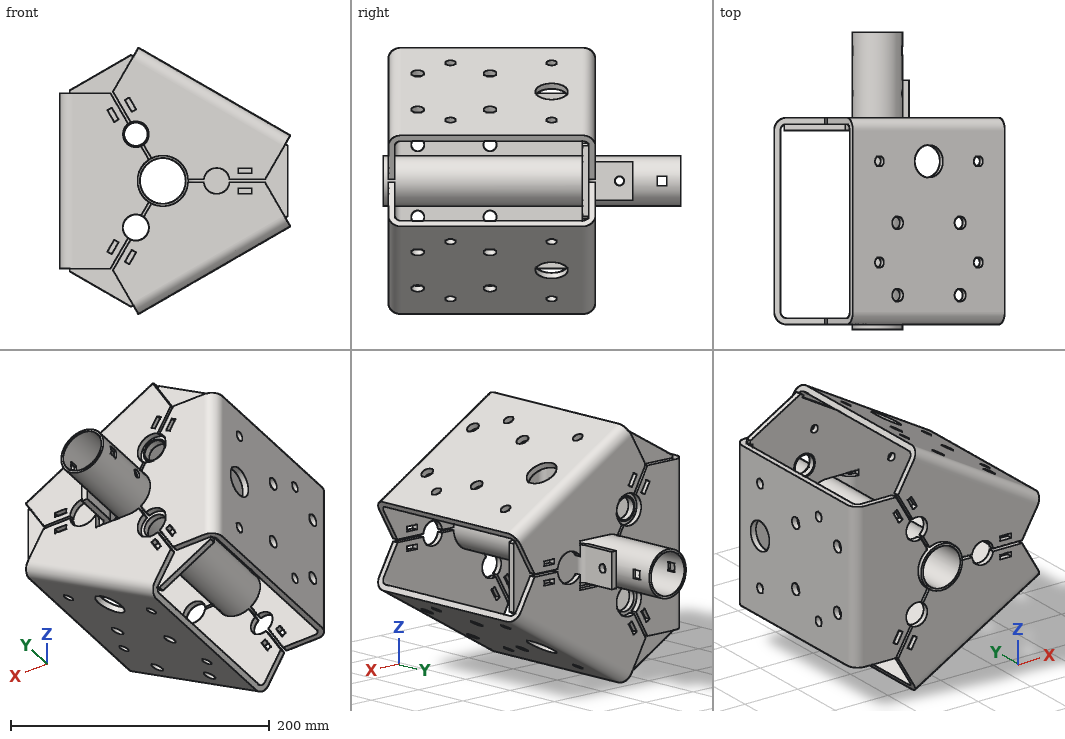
import cadquery as cq
import math

SHEET = 5.0
BEND_IN = 4.8
BEND_OUT = BEND_IN + SHEET

TUBE_OD = 39.0
TUBE_ID = 35.2
TUBE_FRONT = -84.0
TUBE_LENGTH = 230.0
CROSS_HOLE_DIA = 7.0
CROSS_HOLE_Y = 98.7
SQUARE_HOLE = 7.1
SQUARE_HOLE_Y = 131.5

FACE_DISTANCE = 79.8
BRACKET_WIDTH = 135.7
BRACKET_DEPTH = 160.0
HALF_DEPTH = BRACKET_DEPTH / 2
SLIT = 2.3
CORNER_HOLE_DIA = 20.0
REAR_CORNER_HOLE_DIA = 26.0
CORNER_HOLE_RADIUS = 41.6
SLOT_LENGTH = 10.5
SLOT_WIDTH = 4.0
SLOT_RADIUS = 63.5
SLOT_OFFSET = 7.8
BIG_HOLE_DIA = 25.0
SMALL_HOLE_DIA = 8.0
MEDIUM_HOLE_DIA = 10.0
BIG_HOLE_Y = 46.2
SMALL_HOLE_YS = (BIG_HOLE_Y, -32.0)
SMALL_HOLE_SPACING = 88.3
MEDIUM_HOLE_YS = (-1.4, -57.3)
MEDIUM_HOLE_SPACING = 56.0

PLATE_LONG_DISTANCE = 72.0
PLATE_RECESS_DISTANCE = FACE_DISTANCE - BEND_OUT
PLATE_RECESS_WIDTH = 133.0
PLATE_SHORT_DISTANCE = 96.5
PLATE_REAR = HALF_DEPTH - SHEET
PLATE_FRONT = PLATE_REAR - SHEET
PLATE_HOLE_ANGLES = (120, 240)
BOLT_HOLE_DIA = 6.5
BOLT_HOLE_RADIUS = 61.6
BOLT_HOLE_OFFSET = 22.5
TAB_END = 109.0
TAB_HEIGHT = 30.0
WINDOW_END = 30.8

BUSHING_ID = 18.0
BUSHING_LENGTH = 6.0
BUSHING_ANGLE = 120

CORNER_ANGLES = (0, 120, 240)
FACE_ANGLES = (60, 180, 300)
SECTOR_HALF_ANGLE = 60


def polar(radius, angle):
    a = math.radians(angle)
    return radius * math.cos(a), radius * math.sin(a)


def turn(body, angle):
    """Turn about the tube axis, from +X towards +Z."""
    return body.rotate((0, 0, 0), (0, 1, 0), -angle)


def along_y(y_start, y_end):
    """Sketch plane whose local axes are +X and +Z, and a depth that extrudes towards +Y."""
    return cq.Workplane("XZ", origin=(0, y_start, 0)), -(y_end - y_start)


def cylinder_y(diameter, x, z, y_start, y_end):
    plane, depth = along_y(y_start, y_end)
    return plane.center(x, z).circle(diameter / 2).extrude(depth)


def box_between(x, y, z):
    box = cq.Workplane("XY").box(x[1] - x[0], y[1] - y[0], z[1] - z[0], centered=False)
    return box.translate((x[0], y[0], z[0]))


def make_window():
    """Opening beside the tube, as high as the tube, that the tab is bent through."""
    half = TUBE_OD / 2
    return box_between((0, WINDOW_END), (PLATE_FRONT, HALF_DEPTH), (-half, half))


def make_bracket(angle):
    half_w = BRACKET_WIDTH / 2
    bracket = box_between((0, FACE_DISTANCE), (-HALF_DEPTH, HALF_DEPTH), (-half_w, half_w))
    bracket = bracket.edges("|Z and >X").fillet(BEND_OUT)
    inside = box_between(
        (0, FACE_DISTANCE - SHEET),
        (-HALF_DEPTH + SHEET, HALF_DEPTH - SHEET),
        (-half_w, half_w),
    )
    bracket = bracket.cut(inside.edges("|Z and >X").fillet(BEND_IN))

    half_angle = math.radians(SECTOR_HALF_ANGLE)
    tip = SLIT / 2 / math.sin(half_angle)
    rise = (FACE_DISTANCE - tip) * math.tan(half_angle)
    plane, depth = along_y(-HALF_DEPTH, HALF_DEPTH)
    sector = plane.polyline([(tip, 0), (FACE_DISTANCE, rise), (FACE_DISTANCE, -rise)])
    sector = sector.close().extrude(depth)
    bracket = bracket.intersect(sector)

    bracket = bracket.cut(cylinder_y(TUBE_OD, 0, 0, -HALF_DEPTH, HALF_DEPTH))
    for side in (-1, 1):
        x, z = polar(CORNER_HOLE_RADIUS, SECTOR_HALF_ANGLE * side)
        bracket = bracket.cut(cylinder_y(CORNER_HOLE_DIA, x, z, -HALF_DEPTH, 0))
        bracket = bracket.cut(cylinder_y(REAR_CORNER_HOLE_DIA, x, z, 0, HALF_DEPTH))
        slot = plane.center(SLOT_RADIUS, -side * SLOT_OFFSET).rect(SLOT_LENGTH, SLOT_WIDTH).extrude(depth)
        bracket = bracket.cut(turn(slot, SECTOR_HALF_ANGLE * side))

    web = cq.Workplane("YZ", origin=(FACE_DISTANCE - SHEET, 0, 0))
    small = [(y, s * SMALL_HOLE_SPACING / 2) for y in SMALL_HOLE_YS for s in (-1, 1)]
    medium = [(y, s * MEDIUM_HOLE_SPACING / 2) for y in MEDIUM_HOLE_YS for s in (-1, 1)]
    bracket = bracket.cut(web.pushPoints([(BIG_HOLE_Y, 0)]).circle(BIG_HOLE_DIA / 2).extrude(SHEET))
    bracket = bracket.cut(web.pushPoints(small).circle(SMALL_HOLE_DIA / 2).extrude(SHEET))
    bracket = bracket.cut(web.pushPoints(medium).circle(MEDIUM_HOLE_DIA / 2).extrude(SHEET))

    return turn(bracket, angle).cut(make_window())


def make_plate():
    plane, depth = along_y(PLATE_FRONT, PLATE_REAR)
    long_r = 2 * PLATE_LONG_DISTANCE
    short_r = 2 * PLATE_SHORT_DISTANCE
    plate = plane.polyline([polar(long_r, a) for a in CORNER_ANGLES]).close().extrude(depth)
    cutter = plane.polyline([polar(short_r, a) for a in FACE_ANGLES]).close().extrude(depth)
    plate = plate.intersect(cutter)

    half = PLATE_RECESS_WIDTH / 2
    recess = box_between((PLATE_RECESS_DISTANCE, FACE_DISTANCE), (PLATE_FRONT, PLATE_REAR), (-half, half))
    for angle in FACE_ANGLES:
        plate = plate.cut(turn(recess, angle))

    plate = plate.cut(cylinder_y(TUBE_OD, 0, 0, PLATE_FRONT, PLATE_REAR)).cut(make_window())
    for angle in PLATE_HOLE_ANGLES:
        x, z = polar(CORNER_HOLE_RADIUS, angle)
        plate = plate.cut(cylinder_y(CORNER_HOLE_DIA, x, z, PLATE_FRONT, PLATE_REAR))
    for angle in CORNER_ANGLES:
        bolt_spots = [(BOLT_HOLE_RADIUS, side * BOLT_HOLE_OFFSET) for side in (-1, 1)]
        bolts = plane.pushPoints(bolt_spots).circle(BOLT_HOLE_DIA / 2).extrude(depth)
        plate = plate.cut(turn(bolts, angle))

    x0 = TUBE_OD / 2
    bend_x = x0 + BEND_OUT
    bend_y = PLATE_FRONT + BEND_OUT
    mid_arc = math.sqrt(0.5)
    outer_mid = (bend_x - BEND_OUT * mid_arc, bend_y - BEND_OUT * mid_arc)
    inner_mid = (bend_x - BEND_IN * mid_arc, bend_y - BEND_IN * mid_arc)
    tab = (
        cq.Workplane("XY", origin=(0, 0, -TAB_HEIGHT / 2))
        .moveTo(WINDOW_END, PLATE_FRONT)
        .lineTo(bend_x, PLATE_FRONT)
        .threePointArc(outer_mid, (x0, bend_y))
        .lineTo(x0, TAB_END)
        .lineTo(x0 + SHEET, TAB_END)
        .lineTo(x0 + SHEET, bend_y)
        .threePointArc(inner_mid, (bend_x, PLATE_REAR))
        .lineTo(WINDOW_END, PLATE_REAR)
        .close()
        .extrude(TAB_HEIGHT)
    )
    plate = plate.union(tab)
    hole = cq.Workplane("YZ").center(CROSS_HOLE_Y, 0).circle(CROSS_HOLE_DIA / 2).extrude(TUBE_OD)
    return plate.cut(hole)


def make_tube():
    tube_end = TUBE_FRONT + TUBE_LENGTH
    tube = cylinder_y(TUBE_OD, 0, 0, TUBE_FRONT, tube_end).cut(
        cylinder_y(TUBE_ID, 0, 0, TUBE_FRONT, tube_end)
    )
    side = cq.Workplane("YZ", origin=(-TUBE_OD / 2, 0, 0))
    tube = tube.cut(side.center(CROSS_HOLE_Y, 0).circle(CROSS_HOLE_DIA / 2).extrude(TUBE_OD))
    return tube.cut(side.center(SQUARE_HOLE_Y, 0).rect(SQUARE_HOLE, SQUARE_HOLE).extrude(TUBE_OD))


def make_bushing():
    x, z = polar(CORNER_HOLE_RADIUS, BUSHING_ANGLE)
    bushing_end = PLATE_FRONT + BUSHING_LENGTH
    bushing = cylinder_y(CORNER_HOLE_DIA, x, z, PLATE_FRONT, bushing_end)
    return bushing.cut(cylinder_y(BUSHING_ID, x, z, PLATE_FRONT, bushing_end))


brackets = [make_bracket(angle) for angle in FACE_ANGLES]
plate = make_plate()
tube = make_tube()
bushing = make_bushing()

result = cq.Compound.makeCompound([*[b.val() for b in brackets], plate.val(), tube.val(), bushing.val()])